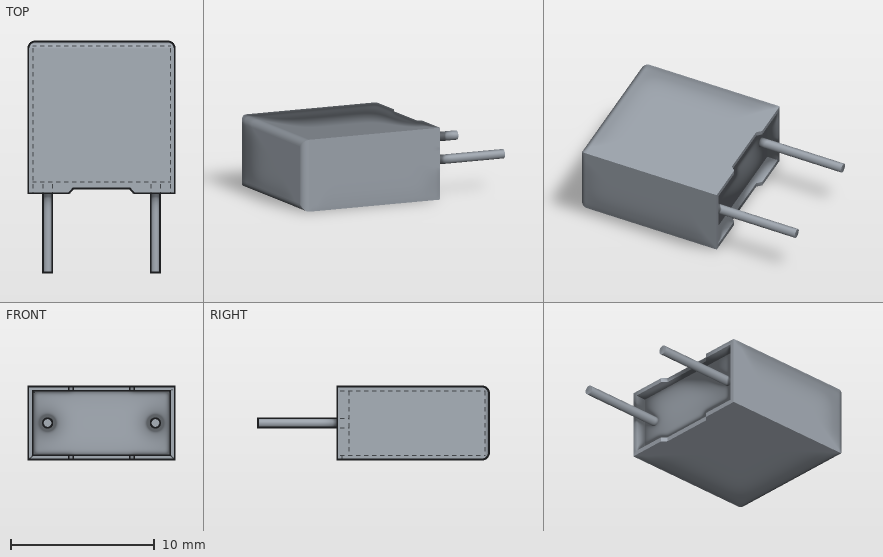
import cadquery as cq

width = 10.2
height = 5.1
total_length = 16.1
housing_length = 10.58
wall = 0.32
back_edge_radius = 0.52

notch_floor_width = 3.93
notch_mouth_width = 4.54
notch_depth = 0.32

fill_recess = 0.8

lead_diameter = 0.66
lead_pitch = 7.5

fill_front = fill_recess
fill_back = housing_length - wall
lead_tip = housing_length - total_length


def box_along_y(size_x, size_z, y_start, y_end):
    """Box centred on the Y axis, between two positions along Y."""
    return cq.Workplane("XY").box(size_x, y_end - y_start, size_z).translate((0, (y_start + y_end) / 2, 0))


def make_notch_cutter():
    """Trapezoid prism that cuts the upper and lower rims in one pass."""
    return (
        cq.Workplane("XY")
        .polyline([
            (-notch_mouth_width / 2, 0),
            (-notch_floor_width / 2, notch_depth),
            (notch_floor_width / 2, notch_depth),
            (notch_mouth_width / 2, 0),
        ])
        .close()
        .extrude(height / 2, both=True)
    )


def make_housing():
    shell = box_along_y(width, height, 0, housing_length).faces(">Y").edges().fillet(back_edge_radius)
    cavity = box_along_y(width - 2 * wall, height - 2 * wall, 0, fill_back)
    return shell.cut(cavity).cut(make_notch_cutter())


def make_filling():
    """Block that fills the cavity behind the recess."""
    return box_along_y(width - 2 * wall, height - 2 * wall, fill_front, fill_back)


def make_lead(x):
    """Round wire that stands on the front face of the filling."""
    return (
        cq.Workplane("XZ", origin=(x, fill_front, 0))
        .circle(lead_diameter / 2)
        .extrude(fill_front - lead_tip)
    )


housing = make_housing()
filling = make_filling()
leads = [make_lead(side * lead_pitch / 2) for side in (-1, 1)]

result = cq.Compound.makeCompound([
    housing.val(),
    filling.val(),
    *[lead.val() for lead in leads],
])